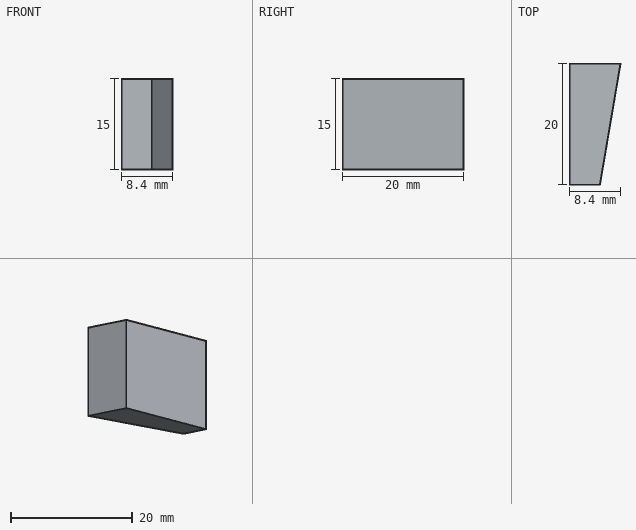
import cadquery as cq

length = 20.0
height = 15.0
thin_end_width = 5.0
thick_end_width = 8.4

result = (
    cq.Workplane("XY")
    .polyline([
        (0, 0),
        (thin_end_width, 0),
        (thick_end_width, length),
        (0, length),
    ])
    .close()
    .extrude(height)
)